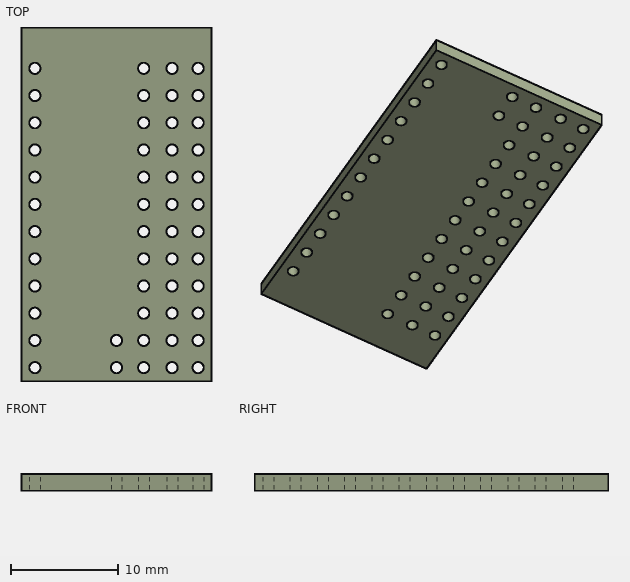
import cadquery as cq

width = 17.75
length = 33.02
thickness = 1.6

hole_diameter = 1.02
row_count = 12
row_span = 27.95
pitch = row_span / (row_count - 1)
rows_below_centre = 6
first_row_y = -rows_below_centre * pitch

outer_column_x = 3 * pitch
offset_column_x = 5.2
inner_column_x = pitch
short_column_x = 0.0
short_column_rows = 2


def column_points(x, count):
    """Hole centres of one column, counted up from the first row."""
    return [(x, first_row_y + row * pitch) for row in range(count)]


hole_points = column_points(short_column_x, short_column_rows)
for column_x in (-outer_column_x, inner_column_x, offset_column_x, outer_column_x):
    hole_points += column_points(column_x, row_count)

plate = cq.Workplane("XY").box(width, length, thickness)
result = plate.faces(">Z").workplane(origin=(0, 0, 0)).pushPoints(hole_points).hole(hole_diameter)